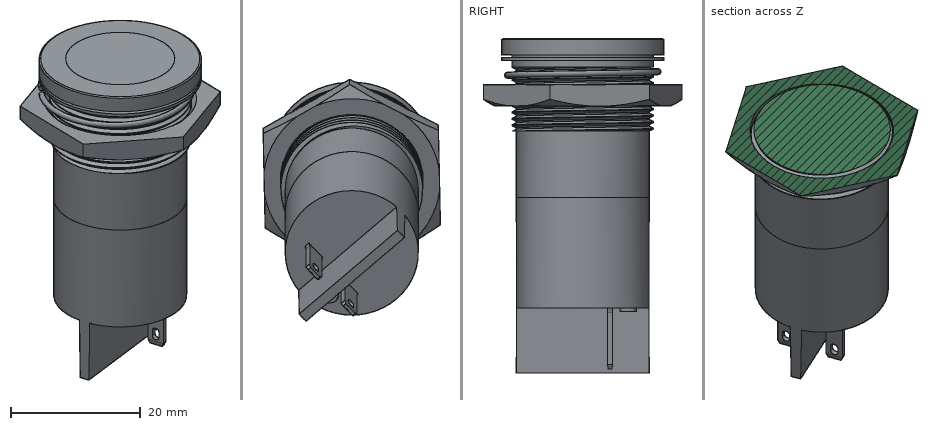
import cadquery as cq
import math


bezel_diameter = 25.0
bezel_height = 2.5
bezel_chamfer_height = 0.15
bezel_chamfer_width = 0.25
neck_length = 1.9
barrel_diameter = 20.5
thread_diameter = 21.8
thread_pitch = 1.0
thread_embedding = 0.1
thread_base_width = 0.9
thread_crest_width = 0.12
thread_start_z = -11.1
thread_end_z = -14.25
housing_end_z = -24.5

lens_diameter = 16.8
lens_depth = 1.5

gasket_top_z = -2.9
gasket_thickness = 0.5

ring_wire_diameter = 0.9
ring_mean_radius = 11.6
ring_pitch = 1.1
ring_start_z = -5.8
ring_start_angle = 219.0
ring_offset_x = -0.65

nut_across_flats = 27.0
nut_thickness = 3.25
nut_top_z = -7.1
nut_bore_diameter = 22.0
nut_countersink_diameter = 23.5
nut_corner_angle = 41.16
nut_chamfer_radius = 13.6
nut_chamfer_height = 1.0

rear_end_z = -41.5
divider_length = 10.0
divider_root_thickness = 1.9
divider_tip_thickness = 1.6
stud_radius = 1.25
stud_height = 0.5
stud_center = (2.8, 7.0)

terminal_spacing = 8.06
terminal_center_y = 4.2
terminal_thickness = 0.8
terminal_width = 2.8
terminal_length = 9.35
terminal_root_width = 3.2
terminal_root_length = 0.7
terminal_tip_width = 2.15
terminal_tip_length = 0.7
terminal_tip_relief = 0.12
eyelet_width = 1.2
eyelet_length = 2.0
eyelet_center_drop = 7.4

barrel_radius = barrel_diameter / 2
thread_radius = thread_diameter / 2
neck_end_z = -bezel_height - neck_length
nut_bottom_z = nut_top_z - nut_thickness
nut_corner_radius = nut_across_flats / 2 / math.cos(math.pi / 6)


def cylinder(radius, bottom_z, top_z):
    return cq.Workplane("XY", origin=(0, 0, bottom_z)).circle(radius).extrude(top_z - bottom_z)


def thread_ridge():
    """Helical ridge, trimmed flat at both ends of the threaded length."""
    turns_below = math.ceil((thread_start_z - thread_end_z) / thread_pitch) + 1
    turns_above = math.ceil((neck_end_z - thread_start_z) / thread_pitch) + 1
    base_z = thread_start_z - turns_below * thread_pitch
    length = (turns_below + turns_above) * thread_pitch
    helix = cq.Wire.makeHelix(thread_pitch, length, barrel_radius, center=cq.Vector(0, 0, base_z))
    root_radius = barrel_radius - thread_embedding
    base = thread_base_width / 2
    crest = thread_crest_width / 2
    ridge = (
        cq.Workplane("XZ")
        .polyline([
            (root_radius, base_z - base),
            (thread_radius, base_z - crest),
            (thread_radius, base_z + crest),
            (root_radius, base_z + base),
        ])
        .close()
        .sweep(cq.Workplane(obj=helix), isFrenet=True)
    )
    return ridge.intersect(cylinder(bezel_diameter / 2, thread_end_z, neck_end_z))


def make_spring_ring():
    """One turn of round wire, rising counterclockwise and set off-centre."""
    helix = cq.Wire.makeHelix(ring_pitch, ring_pitch, ring_mean_radius)
    ring = (
        cq.Workplane("XZ", origin=(ring_mean_radius, 0, 0))
        .circle(ring_wire_diameter / 2)
        .sweep(cq.Workplane(obj=helix), isFrenet=True)
    )
    turned = ring.rotate((0, 0, 0), (0, 0, 1), ring_start_angle)
    return turned.translate((ring_offset_x, 0, ring_start_z))


def make_lens():
    return cylinder(lens_diameter / 2, -lens_depth, 0)


def make_front_housing(lens, spring_ring):
    bezel_rim = cylinder(bezel_diameter / 2, -bezel_height, 0).faces(">Z").edges()
    bezel = bezel_rim.chamfer(bezel_chamfer_height, bezel_chamfer_width)
    neck = cylinder(thread_radius, neck_end_z, -bezel_height)
    barrel = cylinder(barrel_radius, housing_end_z, -bezel_height)
    body = barrel.union(thread_ridge()).union(neck).union(bezel)
    return body.cut(lens).cut(spring_ring)


def make_gasket():
    bottom_z = gasket_top_z - gasket_thickness
    disc = cylinder(bezel_diameter / 2, bottom_z, gasket_top_z)
    return disc.cut(cylinder(thread_radius, bottom_z, gasket_top_z))


def make_nut():
    hexagon = (
        cq.Workplane("XY", origin=(0, 0, nut_bottom_z))
        .polygon(6, 2 * nut_corner_radius)
        .extrude(nut_thickness)
        .rotate((0, 0, 0), (0, 0, 1), nut_corner_angle)
    )
    chamfered_envelope = (
        cq.Workplane("XZ")
        .polyline([
            (0, nut_bottom_z),
            (nut_chamfer_radius, nut_bottom_z),
            (nut_corner_radius, nut_bottom_z + nut_chamfer_height),
            (nut_corner_radius, nut_top_z),
            (0, nut_top_z),
        ])
        .close()
        .revolve(360, (0, 0, 0), (0, 1, 0))
    )
    bore = cylinder(nut_bore_diameter / 2, nut_bottom_z, nut_top_z)
    blank = hexagon.intersect(chamfered_envelope).cut(bore)
    countersink_width = (nut_countersink_diameter - nut_bore_diameter) / 2
    bore_rim = blank.faces(">Z").edges("%CIRCLE")
    return bore_rim.chamfer(countersink_width)


def make_rear_housing():
    barrel = cylinder(barrel_radius, rear_end_z, housing_end_z)
    root = divider_root_thickness / 2
    tip = divider_tip_thickness / 2
    tip_z = rear_end_z - divider_length
    divider = (
        cq.Workplane("XZ")
        .polyline([(-root, rear_end_z), (root, rear_end_z), (tip, tip_z), (-tip, tip_z)])
        .close()
        .extrude(barrel_radius, both=True)
        .intersect(cylinder(barrel_radius, tip_z, rear_end_z))
    )
    stud = cylinder(stud_radius, rear_end_z - stud_height, rear_end_z).translate((*stud_center, 0))
    return barrel.union(divider).union(stud)


def make_terminal(center_x):
    """Flat blade with a flared root, a tapered tip and an eyelet for the wire."""
    root = terminal_root_width / 2
    side = terminal_width / 2
    tip = terminal_tip_width / 2
    face = terminal_thickness / 2
    tip_face = face - terminal_tip_relief
    root_end = -terminal_root_length
    tip_start = terminal_tip_length - terminal_length
    tip_end = -terminal_length
    outline = (
        cq.Workplane("XZ")
        .polyline([
            (-root, 0), (-side, root_end), (-side, tip_start), (-tip, tip_end),
            (tip, tip_end), (side, tip_start), (side, root_end), (root, 0),
        ])
        .close()
        .extrude(face, both=True)
    )
    edge_profile = (
        cq.Workplane("YZ")
        .polyline([
            (-face, 0), (-face, tip_start), (-tip_face, tip_end),
            (tip_face, tip_end), (face, tip_start), (face, 0),
        ])
        .close()
        .extrude(root, both=True)
    )
    eyelet = (
        cq.Workplane("XZ")
        .center(0, -eyelet_center_drop)
        .slot2D(eyelet_length, eyelet_width, 90)
        .extrude(terminal_thickness, both=True)
    )
    blade = outline.intersect(edge_profile).cut(eyelet)
    return blade.translate((center_x, terminal_center_y, rear_end_z))


lens = make_lens()
spring_ring = make_spring_ring()
front_housing = make_front_housing(lens, spring_ring)
gasket = make_gasket()
nut = make_nut()
rear_housing = make_rear_housing()
terminals = [make_terminal(side * terminal_spacing / 2) for side in (-1, 1)]

result = cq.Compound.makeCompound([
    front_housing.val(),
    lens.val(),
    gasket.val(),
    spring_ring.val(),
    nut.val(),
    rear_housing.val(),
    *[terminal.val() for terminal in terminals],
])